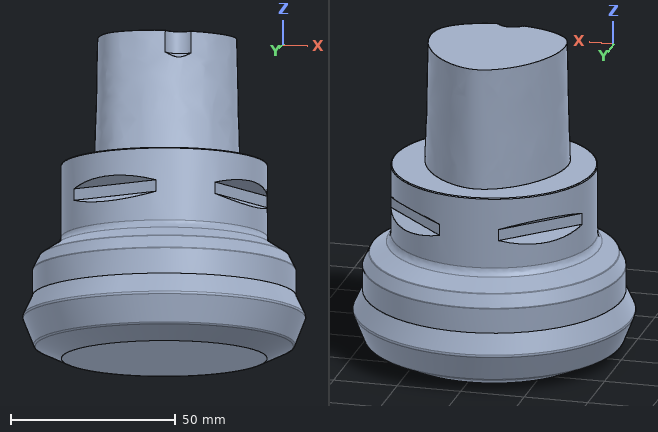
import cadquery as cq
import math

TOTAL_HEIGHT = 98.0
FLANGE_TOP_Z = 59.8
NECK_FOOT_Z = 35.7
SHOULDER_Z = 31.35
COLLAR_TOP_Z = 27.2
SPLIT_Z = 19.3
CUTTER_RIM_Z = 12.8
CUTTER_HEEL_Z = 3.9

FLANGE_DIAMETER = 63.0
SHOULDER_DIAMETER = 76.3
COLLAR_DIAMETER = 80.3
RIM_DIAMETER = 86.4
HEEL_DIAMETER = 79.4
CUTTER_BOTTOM_DIAMETER = 62.7

FLANGE_CHAMFER = 0.3
NECK_FILLET = 2.9
SHOULDER_FILLET = 0.5
RIM_FILLET = 1.0

SHANK_BASE_DIAMETER = 44.3
SHANK_TAPER = 1 / 20
LOBE_HEIGHT = 1.5
POINTS_PER_LOBE = 12

NOTCH_RADIUS = 4.9
NOTCH_AXIS_Y = -22.3
NOTCH_SHOULDER_Z = 91.2
DRILL_POINT_ANGLE = 118.0

GROOVE_COUNT = 4
GROOVE_START_ANGLE = 45.0
GROOVE_MID_Z = 47.9
GROOVE_FLOOR_WIDTH = 3.5
GROOVE_FLOOR_DISTANCE = 27.8
GROOVE_WALL_ANGLE = 30.0


def revolve_profile(points):
    """Turn a closed (radius, height) outline about the Z axis."""
    return cq.Workplane("XZ").polyline(points).close().revolve(360, (0, 0), (0, 1))


def edges_at_height(body, z):
    """Select the circular edge of a turned body at height z."""
    tolerance = 0.1
    reach = RIM_DIAMETER
    return body.edges(
        cq.selectors.BoxSelector((-reach, -reach, z - tolerance), (reach, reach, z + tolerance))
    )


def lobed_wire(diameter, z):
    """Smooth constant-width outline with one lobe toward +Y and a broad side toward -Y."""
    count = 3 * POINTS_PER_LOBE
    points = []
    for index in range(count):
        turn = 2 * math.pi * index / count
        support = diameter / 2 + LOBE_HEIGHT * math.cos(3 * turn)
        slope = -3 * LOBE_HEIGHT * math.sin(3 * turn)
        along = support * math.cos(turn) - slope * math.sin(turn)
        across = support * math.sin(turn) + slope * math.cos(turn)
        points.append(cq.Vector(-across, along, z))
    return cq.Wire.assembleEdges([cq.Edge.makeSpline(points, periodic=True)])


def make_shank():
    height = TOTAL_HEIGHT - FLANGE_TOP_Z
    top_diameter = SHANK_BASE_DIAMETER - SHANK_TAPER * height
    base = lobed_wire(SHANK_BASE_DIAMETER, FLANGE_TOP_Z)
    top = lobed_wire(top_diameter, TOTAL_HEIGHT)
    return cq.Workplane(cq.Solid.makeLoft([base, top], True))


def make_notch():
    """Drilled hole with a conical tip, its axis just outside the shank."""
    tip_depth = NOTCH_RADIUS / math.tan(math.radians(DRILL_POINT_ANGLE / 2))
    drill = revolve_profile([
        (0, NOTCH_SHOULDER_Z - tip_depth),
        (NOTCH_RADIUS, NOTCH_SHOULDER_Z),
        (NOTCH_RADIUS, TOTAL_HEIGHT),
        (0, TOTAL_HEIGHT),
    ])
    return drill.translate((0, NOTCH_AXIS_Y, 0))


def make_groove(angle):
    """Straight trapezoidal groove cutter, flat floor facing outward at the given angle."""
    outer_distance = FLANGE_DIAMETER / 2 + 1
    depth = outer_distance - GROOVE_FLOOR_DISTANCE
    floor_half = GROOVE_FLOOR_WIDTH / 2
    mouth_half = floor_half + depth * math.tan(math.radians(GROOVE_WALL_ANGLE))
    section = [
        (GROOVE_FLOOR_DISTANCE, GROOVE_MID_Z - floor_half),
        (outer_distance, GROOVE_MID_Z - mouth_half),
        (outer_distance, GROOVE_MID_Z + mouth_half),
        (GROOVE_FLOOR_DISTANCE, GROOVE_MID_Z + floor_half),
    ]
    groove = cq.Workplane("XZ").polyline(section).close().extrude(FLANGE_DIAMETER / 2, both=True)
    return groove.rotate((0, 0, 0), (0, 0, 1), angle)


def make_adapter():
    """Flange, conical neck and collar, carrying the lobed shank."""
    adapter = revolve_profile([
        (0, SPLIT_Z),
        (COLLAR_DIAMETER / 2, SPLIT_Z),
        (COLLAR_DIAMETER / 2, COLLAR_TOP_Z),
        (SHOULDER_DIAMETER / 2, SHOULDER_Z),
        (FLANGE_DIAMETER / 2, NECK_FOOT_Z),
        (FLANGE_DIAMETER / 2, FLANGE_TOP_Z),
        (0, FLANGE_TOP_Z),
    ])
    adapter = edges_at_height(adapter, NECK_FOOT_Z).fillet(NECK_FILLET)
    adapter = edges_at_height(adapter, SHOULDER_Z).fillet(SHOULDER_FILLET)
    adapter = edges_at_height(adapter, COLLAR_TOP_Z).fillet(SHOULDER_FILLET)
    adapter = edges_at_height(adapter, FLANGE_TOP_Z).chamfer(FLANGE_CHAMFER)
    for index in range(GROOVE_COUNT):
        adapter = adapter.cut(make_groove(GROOVE_START_ANGLE + index * 360 / GROOVE_COUNT))
    return adapter.union(make_shank().cut(make_notch()))


def make_cutter_head():
    """Flared head below the adapter, with a rounded rim and heel."""
    head = revolve_profile([
        (0, 0),
        (CUTTER_BOTTOM_DIAMETER / 2, 0),
        (HEEL_DIAMETER / 2, CUTTER_HEEL_Z),
        (RIM_DIAMETER / 2, CUTTER_RIM_Z),
        (COLLAR_DIAMETER / 2, SPLIT_Z),
        (0, SPLIT_Z),
    ])
    head = edges_at_height(head, CUTTER_RIM_Z).fillet(RIM_FILLET)
    return edges_at_height(head, CUTTER_HEEL_Z).fillet(RIM_FILLET)


adapter = make_adapter()
cutter_head = make_cutter_head()

result = cq.Compound.makeCompound([adapter.val(), cutter_head.val()])